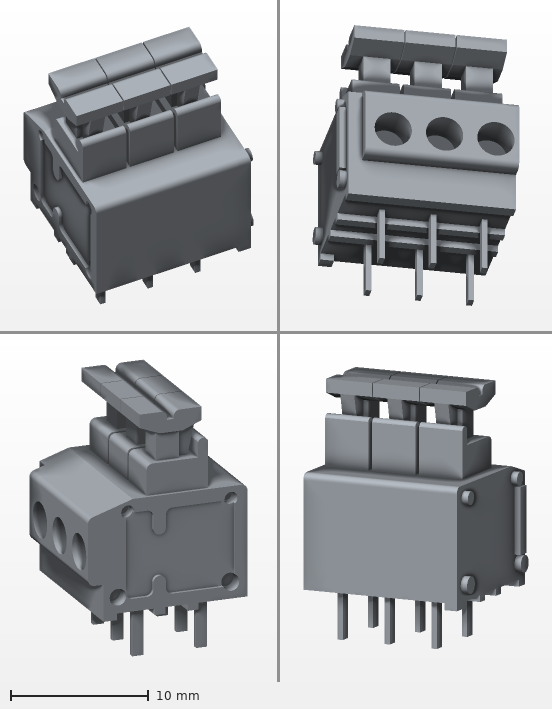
import cadquery as cq
import math


POLE_COUNT = 3
POLE_PITCH = 3.8

TOTAL_HEIGHT = 19.02
DEPTH_X = 12.5
HOUSING_LENGTH = POLE_COUNT * POLE_PITCH
HOUSING_TOP = 9.15
FOOT_HEIGHT = 0.51
BASE_FRONT = 1.22
NOSE_BOTTOM = 2.85
NOSE_TOP = 8.03
SLOPE_END = 3.5
EDGE_RADIUS = 0.5

FRONT_FOOT = (BASE_FRONT, 2.26)
MIDDLE_FEET = [(5.25, 6.05), (7.84, 8.64)]
REAR_FOOT = (11.5, DEPTH_X)

PLATE_THICKNESS = 1.0
STUD_LENGTH = 0.51
STUD_HOLE_DEPTH = 1.15
RIB_START, RIB_END = 2.02, 3.0
RIB_BOTTOM, RIB_TOP = 2.51, 7.53

UPPER_DIAMETER = 1.0
LOWER_DIAMETER = 1.3
UPPER_POINTS = [(3.1, 8.2), (11.2, 8.2)]
LOWER_POINTS = [(2.34, 1.75), (11.2, 1.75)]

RECESS_DEPTH = 0.3
RECESS_LEFT, RECESS_RIGHT = 2.99, 11.53
RECESS_BOTTOM, RECESS_TOP = 1.48, 8.1
TONGUE_X = 5.61
TONGUE_WIDTH = 0.99
UPPER_TONGUE_TIP = 6.15
LOWER_TONGUE_TIP = 2.99

CONTACT_OFFSET = 1.73
WIRE_HOLE_DIAMETER = 2.75
WIRE_HOLE_Z = 5.0
WIRE_HOLE_DEPTH = 2.85
PIN_LENGTH = 3.5
PIN_WIDTH = 0.85
PIN_THICKNESS = 0.42
PIN_XS = [4.5, 9.51]

TOWER_WIDTH = 3.5
TOWER_FRONT, TOWER_REAR = 4.72, 9.53
TOWER_TOP = 11.56
TOWER_RADIUS = 0.45
STOP_THICKNESS = 0.78
STOP_TOP = 13.03
STOP_CROWN = 0.29

STEM_OFFSET = 1.8
STEM_WIDTH = 2.02
STEM_FRONT, STEM_REAR = 5.65, 7.45
WEB_WIDTH = 1.15
WEB_FOOT = 8.3
HEAD_WIDTH = 3.7
HEAD_FRONT, HEAD_REAR = 4.07, 8.94
HEAD_BOTTOM = 13.88
HEAD_EDGE = 14.5
HEAD_TOP = TOTAL_HEIGHT - PIN_LENGTH
GROOVE_FRONT, GROOVE_REAR = 6.22, 6.75
GROOVE_FLOOR = 14.85
GROOVE_RADIUS = 0.45


def prism(outline, y_start, y_end):
    """Extrude a closed XZ outline from y_start to y_end."""
    return outline.extrude(y_start - y_end).translate((0, y_start, 0))


def box(x_range, y_range, z_range):
    sizes = [end - start for start, end in (x_range, y_range, z_range)]
    corner = (x_range[0], y_range[0], z_range[0])
    return cq.Workplane("XY").box(*sizes, centered=False).translate(corner)


def cylinders(points, diameter, y_start, y_end):
    """Cylinders along Y at the given (x, z) points."""
    return prism(cq.Workplane("XZ").pushPoints(points).circle(diameter / 2), y_start, y_end)


def feet(spans, y_start, y_end):
    """Feet between the board and the underside."""
    blocks = [box(span, (y_start, y_end), (0, FOOT_HEIGHT)) for span in spans]
    joined = blocks[0]
    for block in blocks[1:]:
        joined = joined.union(block)
    return joined


def housing_block():
    """Solid housing block with its overhanging nose and sloped shoulder."""
    outline = (
        cq.Workplane("XZ")
        .moveTo(BASE_FRONT, FOOT_HEIGHT)
        .lineTo(BASE_FRONT, NOSE_BOTTOM)
        .lineTo(0, NOSE_BOTTOM)
        .lineTo(0, NOSE_TOP)
        .lineTo(SLOPE_END, HOUSING_TOP)
        .lineTo(DEPTH_X, HOUSING_TOP)
        .lineTo(DEPTH_X, FOOT_HEIGHT)
        .close()
    )
    body = prism(outline, 0, HOUSING_LENGTH)
    body = body.edges("|Y and <X").fillet(EDGE_RADIUS)
    return body.edges("|Y and >X and >Z").fillet(EDGE_RADIUS)


def tongue(root_z, tip_z):
    """Round-ended tongue that stays standing inside the recess."""
    half = TONGUE_WIDTH / 2
    into_recess = math.copysign(half, tip_z - root_z)
    shoulder = tip_z - into_recess
    outline = (
        cq.Workplane("XZ")
        .moveTo(TONGUE_X - half, root_z)
        .lineTo(TONGUE_X - half, shoulder)
        .threePointArc((TONGUE_X, tip_z), (TONGUE_X + half, shoulder))
        .lineTo(TONGUE_X + half, root_z)
        .close()
    )
    return prism(outline, 0, RECESS_DEPTH)


def side_recess():
    recess = box((RECESS_LEFT, RECESS_RIGHT), (0, RECESS_DEPTH), (RECESS_BOTTOM, RECESS_TOP))
    recess = recess.cut(tongue(RECESS_TOP, UPPER_TONGUE_TIP))
    recess = recess.cut(tongue(RECESS_BOTTOM, LOWER_TONGUE_TIP))
    return recess.edges("|Y and (<Z or >Z)").fillet(EDGE_RADIUS)


def tower(y_rear):
    """Guide tower with a crowned upright stop behind the button."""
    y_front = y_rear - TOWER_WIDTH
    block = box((TOWER_FRONT, TOWER_REAR), (y_front, y_rear), (HOUSING_TOP, TOWER_TOP))
    block = block.edges("|Y and <X and >Z").fillet(TOWER_RADIUS)
    stop_front = TOWER_REAR - STOP_THICKNESS
    stop_outline = (
        cq.Workplane("XZ")
        .moveTo(stop_front, HOUSING_TOP)
        .lineTo(stop_front, STOP_TOP - STOP_CROWN)
        .threePointArc((TOWER_REAR - STOP_THICKNESS / 2, STOP_TOP), (TOWER_REAR, STOP_TOP - STOP_CROWN))
        .lineTo(TOWER_REAR, HOUSING_TOP)
        .close()
    )
    return block.union(prism(stop_outline, y_front, y_rear))


def button_head(y_rear):
    outline = (
        cq.Workplane("XZ")
        .moveTo(STEM_FRONT, HEAD_BOTTOM)
        .lineTo(HEAD_FRONT, HEAD_EDGE)
        .lineTo(HEAD_FRONT, HEAD_TOP)
        .lineTo(GROOVE_FRONT - GROOVE_RADIUS, HEAD_TOP)
        .radiusArc((GROOVE_FRONT, HEAD_TOP - GROOVE_RADIUS), GROOVE_RADIUS)
        .lineTo(GROOVE_FRONT, GROOVE_FLOOR)
        .lineTo(GROOVE_REAR, GROOVE_FLOOR)
        .lineTo(GROOVE_REAR, HEAD_TOP - GROOVE_RADIUS)
        .radiusArc((GROOVE_REAR + GROOVE_RADIUS, HEAD_TOP), GROOVE_RADIUS)
        .lineTo(HEAD_REAR, HEAD_TOP)
        .lineTo(HEAD_REAR, HEAD_EDGE)
        .lineTo(STEM_REAR, HEAD_BOTTOM)
        .close()
    )
    return prism(outline, y_rear - HEAD_WIDTH, y_rear)


def button_stem(y_center):
    """Rectangular stem with a narrower tapered web behind it."""
    y_range = (y_center - STEM_WIDTH / 2, y_center + STEM_WIDTH / 2)
    stem = box((STEM_FRONT, STEM_REAR), y_range, (TOWER_TOP, HEAD_BOTTOM))
    web_outline = (
        cq.Workplane("XZ")
        .moveTo(STEM_REAR, TOWER_TOP)
        .lineTo(WEB_FOOT, TOWER_TOP)
        .lineTo(HEAD_REAR, HEAD_EDGE)
        .lineTo(STEM_REAR, HEAD_BOTTOM)
        .close()
    )
    return stem.union(prism(web_outline, y_center - WEB_WIDTH / 2, y_center + WEB_WIDTH / 2))


def wire_hole(y_center):
    hole = cq.Workplane("YZ").center(y_center, WIRE_HOLE_Z).circle(WIRE_HOLE_DIAMETER / 2)
    return hole.extrude(WIRE_HOLE_DEPTH)


def solder_pin(x_center, y_center):
    return box(
        (x_center - PIN_WIDTH / 2, x_center + PIN_WIDTH / 2),
        (y_center - PIN_THICKNESS / 2, y_center + PIN_THICKNESS / 2),
        (-PIN_LENGTH, FOOT_HEIGHT),
    )


def make_housing():
    body = housing_block().union(feet([FRONT_FOOT] + MIDDLE_FEET, 0, HOUSING_LENGTH))
    body = body.cut(side_recess())
    body = body.cut(cylinders(UPPER_POINTS, UPPER_DIAMETER, 0, STUD_HOLE_DEPTH))
    body = body.cut(cylinders(LOWER_POINTS, LOWER_DIAMETER, 0, STUD_HOLE_DEPTH))
    for pole in range(POLE_COUNT):
        y_front = pole * POLE_PITCH
        y_rear = y_front + POLE_PITCH
        body = body.cut(wire_hole(y_front + CONTACT_OFFSET))
        body = body.union(tower(y_rear))
        body = body.union(button_stem(y_front + STEM_OFFSET))
        body = body.union(button_head(y_rear))
        for x_center in PIN_XS:
            body = body.union(solder_pin(x_center, y_front + CONTACT_OFFSET))
    return body


def make_end_plate():
    y_inner = HOUSING_LENGTH
    y_outer = y_inner + PLATE_THICKNESS
    y_tip = y_outer + STUD_LENGTH
    slope = (HOUSING_TOP - NOSE_TOP) / SLOPE_END
    outline = (
        cq.Workplane("XZ")
        .moveTo(BASE_FRONT, FOOT_HEIGHT)
        .lineTo(BASE_FRONT, NOSE_TOP + slope * BASE_FRONT)
        .lineTo(SLOPE_END, HOUSING_TOP)
        .lineTo(DEPTH_X, HOUSING_TOP)
        .lineTo(DEPTH_X, FOOT_HEIGHT)
        .close()
    )
    plate = prism(outline, y_inner, y_outer).edges("|Y and >X and >Z").fillet(EDGE_RADIUS)
    plate = plate.union(feet([FRONT_FOOT] + MIDDLE_FEET + [REAR_FOOT], y_inner, y_outer))
    plate = plate.union(cylinders(UPPER_POINTS, UPPER_DIAMETER, y_outer, y_tip))
    plate = plate.union(cylinders(LOWER_POINTS, LOWER_DIAMETER, y_outer, y_tip))
    return plate.union(box((RIB_START, RIB_END), (y_outer, y_tip), (RIB_BOTTOM, RIB_TOP)))


housing = make_housing()
end_plate = make_end_plate()
result = cq.Compound.makeCompound([housing.solids().val(), end_plate.solids().val()])